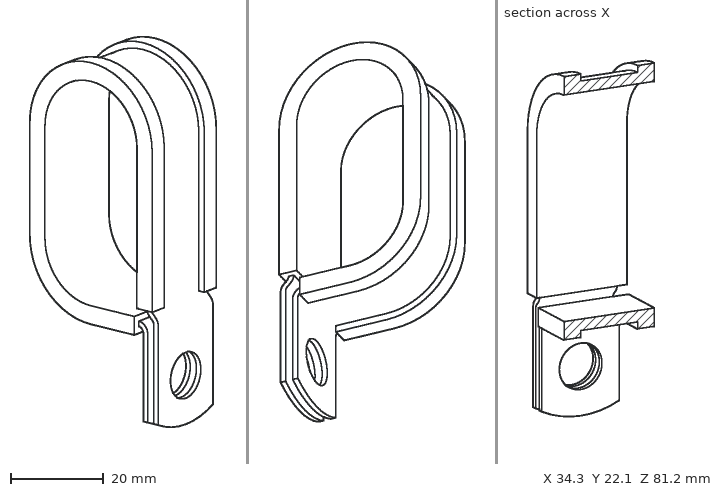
import cadquery as cq
import math

total_height = 81.2
loop_width = 33.9
loop_height = 59.3
cushion_width = 22.1
cushion_wall = 4.2
flange_width = 4.15
groove_depth = 1.55
foot_end_x = 28.9
leg_end_z = 28.1

strap_width = 18.9
strap_thickness = 1.2
bend_radius = 1.2
outer_tab_face_x = 34.3
tab_end_rise = 2.2
hole_diameter = 10.4
hole_height = 11.1

loop_radius = loop_width / 2
loop_bottom = total_height - loop_height
upper_center_z = total_height - loop_radius
lower_center_z = loop_bottom + loop_radius
groove_width = cushion_width - 2 * flange_width
strap_half = strap_thickness / 2
strap_mid_depth = groove_depth + strap_half
bend_mid_radius = bend_radius + strap_half
diagonal = math.sqrt(0.5)


def loop_band(depth, width):
    """Band following the loop, reaching inward by depth from its outer surface."""
    inner_radius = loop_radius - depth
    return (
        cq.Workplane("XZ")
        .moveTo(foot_end_x, loop_bottom)
        .lineTo(loop_radius, loop_bottom)
        .radiusArc((0, lower_center_z), loop_radius)
        .lineTo(0, upper_center_z)
        .threePointArc((loop_radius, total_height), (loop_width, upper_center_z))
        .lineTo(loop_width, leg_end_z)
        .lineTo(loop_width - depth, leg_end_z)
        .lineTo(loop_width - depth, upper_center_z)
        .threePointArc((loop_radius, total_height - depth), (depth, upper_center_z))
        .lineTo(depth, lower_center_z)
        .radiusArc((loop_radius, loop_bottom + depth), -inner_radius)
        .lineTo(foot_end_x, loop_bottom + depth)
        .close()
        .extrude(width / 2, both=True)
    )


def inner_tab():
    """Strap leaving the lower leg and bending straight down."""
    start_z = loop_bottom + strap_mid_depth
    bend_center = (foot_end_x, start_z - bend_mid_radius)
    path = (
        cq.Workplane("XZ")
        .moveTo(foot_end_x, start_z)
        .threePointArc(
            (bend_center[0] + bend_mid_radius * diagonal, bend_center[1] + bend_mid_radius * diagonal),
            (bend_center[0] + bend_mid_radius, bend_center[1]),
        )
        .lineTo(bend_center[0] + bend_mid_radius, 0)
    )
    return (
        cq.Workplane("YZ", origin=(foot_end_x, 0, start_z))
        .rect(strap_width, strap_thickness)
        .sweep(path)
    )


def outer_tab():
    """Strap leaving the right leg, stepping outward at 45 degrees and running down."""
    start_x = loop_width - strap_mid_depth
    tab_x = outer_tab_face_x - strap_half
    arc_x = bend_mid_radius * (1 - diagonal)
    arc_z = bend_mid_radius * diagonal
    slant = tab_x - start_x - 2 * arc_x
    slant_end_z = leg_end_z - arc_z - slant
    path = (
        cq.Workplane("XZ")
        .moveTo(start_x, leg_end_z)
        .radiusArc((start_x + arc_x, leg_end_z - arc_z), -bend_mid_radius)
        .lineTo(tab_x - arc_x, slant_end_z)
        .radiusArc((tab_x, slant_end_z - arc_z), bend_mid_radius)
        .lineTo(tab_x, 0)
    )
    return (
        cq.Workplane("XY", origin=(start_x, 0, leg_end_z))
        .rect(strap_thickness, strap_width)
        .sweep(path)
    )


def tab_outline():
    """Block with the curved tab end and the bolt hole, trimming both tabs alike."""
    half_width = strap_width / 2
    return (
        cq.Workplane("YZ")
        .moveTo(-half_width, tab_end_rise)
        .threePointArc((0, 0), (half_width, tab_end_rise))
        .lineTo(half_width, total_height)
        .lineTo(-half_width, total_height)
        .close()
        .moveTo(0, hole_height)
        .circle(hole_diameter / 2)
        .extrude(outer_tab_face_x)
    )


cushion = loop_band(cushion_wall, cushion_width).cut(loop_band(groove_depth, groove_width))
tabs = inner_tab().union(outer_tab()).intersect(tab_outline())
result = cushion.union(tabs)